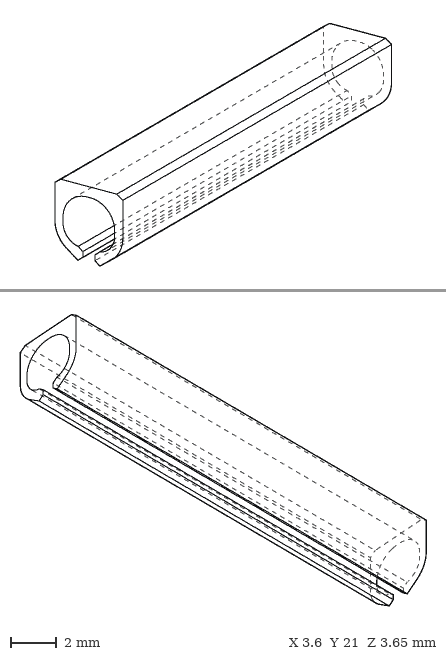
import cadquery as cq
import math

length = 21.0
width = 3.6
height = 3.65

chamfer_width = 0.32
chamfer_height = 0.22

shoulder_radius = 1.45
shoulder_start_z = -2.03
shoulder_sweep = 52.0

side_wall = 0.43
top_wall = 0.51
crown_radius = 1.28
bore_lower_radius = 0.96
bore_lower_sweep = 81.0

slot_width = 0.64
lip_tip_top_z = -3.17
lip_tip_bottom_z = -3.45
lip_bottom_chamfer_width = 0.26

half_width = width / 2
half_slot = slot_width / 2
bore_half_width = half_width - side_wall
shoulder_center = (half_width - shoulder_radius, shoulder_start_z)
bore_lower_center = (bore_half_width - bore_lower_radius, shoulder_start_z)
crown_center = (bore_half_width - crown_radius, -top_wall - crown_radius)


def point_on_circle(center, radius, degrees):
    """Point on a circle at an angle counted counterclockwise from +X."""
    angle = math.radians(degrees)
    return (center[0] + radius * math.cos(angle), center[1] + radius * math.sin(angle))


def mirrored(point):
    """The same point on the other side of the symmetry plane x = 0."""
    return (-point[0], point[1])


def rail_profile():
    """Closed outline: flat top, right side and lip, around the bore, left lip and side."""
    chamfer_top = (half_width - chamfer_width, 0)
    chamfer_bottom = (half_width, -chamfer_height)
    shoulder_start = (half_width, shoulder_start_z)
    shoulder_middle = point_on_circle(shoulder_center, shoulder_radius, -shoulder_sweep / 2)
    shoulder_end = point_on_circle(shoulder_center, shoulder_radius, -shoulder_sweep)
    lip_bottom = (half_slot + lip_bottom_chamfer_width, -height)
    lip_tip_bottom = (half_slot, lip_tip_bottom_z)
    lip_tip_top = (half_slot, lip_tip_top_z)
    bore_end = point_on_circle(bore_lower_center, bore_lower_radius, -bore_lower_sweep)
    bore_middle = point_on_circle(bore_lower_center, bore_lower_radius, -bore_lower_sweep / 2)
    bore_start = (bore_half_width, shoulder_start_z)
    crown_side = (bore_half_width, crown_center[1])
    crown_middle = point_on_circle(crown_center, crown_radius, 45)
    crown_top = (crown_center[0], -top_wall)
    return (
        cq.Workplane("XZ", origin=(0, length / 2, 0))
        .moveTo(*mirrored(chamfer_top))
        .lineTo(*chamfer_top)
        .lineTo(*chamfer_bottom)
        .lineTo(*shoulder_start)
        .threePointArc(shoulder_middle, shoulder_end)
        .lineTo(*lip_bottom)
        .lineTo(*lip_tip_bottom)
        .lineTo(*lip_tip_top)
        .lineTo(*bore_end)
        .threePointArc(bore_middle, bore_start)
        .lineTo(*crown_side)
        .threePointArc(crown_middle, crown_top)
        .lineTo(*mirrored(crown_top))
        .threePointArc(mirrored(crown_middle), mirrored(crown_side))
        .lineTo(*mirrored(bore_start))
        .threePointArc(mirrored(bore_middle), mirrored(bore_end))
        .lineTo(*mirrored(lip_tip_top))
        .lineTo(*mirrored(lip_tip_bottom))
        .lineTo(*mirrored(lip_bottom))
        .lineTo(*mirrored(shoulder_end))
        .threePointArc(mirrored(shoulder_middle), mirrored(shoulder_start))
        .lineTo(*mirrored(chamfer_bottom))
        .close()
    )


result = rail_profile().extrude(length)